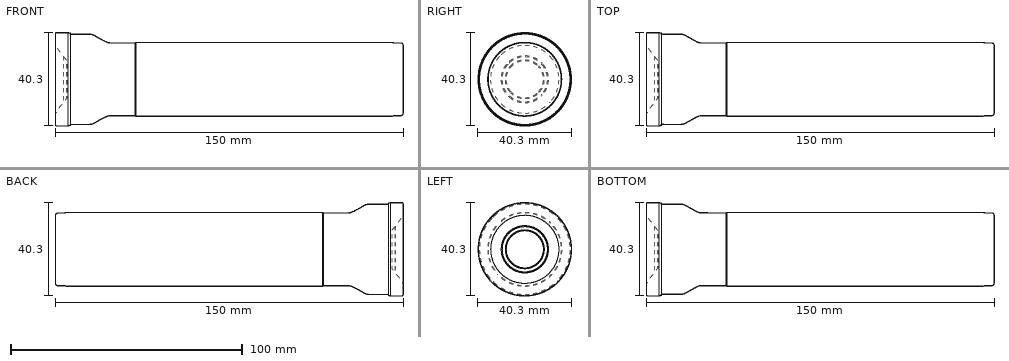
import cadquery as cq

LENGTH = 150.0
BAND_END = 6.5
BAND_CHAMFER_LENGTH = 0.9
COLLAR_END = 15.9
TAPER_END = 22.6
NECK_END = 34.3
TAIL_START = 146.0

BAND_DIAMETER = 40.3
BAND_EDGE_DIAMETER = 39.7
COLLAR_DIAMETER = 39.0
NECK_DIAMETER = 31.5
TUBE_DIAMETER = 32.0

FRONT_EDGE_RADIUS = 0.6
TAPER_BLEND_RADIUS = 3.7
TUBE_FRONT_CHAMFER_LENGTH = 0.5
TUBE_REAR_CHAMFER_LENGTH = 0.7
TAIL_EDGE_RADIUS = 1.2

DISH_DIAMETER = 36.0
DISH_DEPTH = 0.1
MOUTH_EDGE_DIAMETER = 29.4
MOUTH_DIAMETER = 27.9
MOUTH_DEPTH = 0.6
LIP_END_DIAMETER = 25.8
LIP_END_DEPTH = 1.2
THROAT_EDGE_DIAMETER = 20.4
THROAT_EDGE_DEPTH = 3.5
THROAT_DIAMETER = 19.5
THROAT_DEPTH = 3.6
FLOOR_EDGE_DIAMETER = 16.8
FLOOR_EDGE_DEPTH = 4.8
FLOOR_DIAMETER = 16.0
FLOOR_DEPTH = 5.0


def revolve_about_x(points):
    """Revolve a closed outline of (x, radius) points about the X axis."""
    return cq.Workplane("XY").polyline(points).close().revolve(360, (0, 0, 0), (1, 0, 0))


def ring_edge_selector(x, radius):
    """Select the circular edge at position x with the given radius."""
    margin = 0.07
    return cq.selectors.BoxSelector(
        (x - margin, -radius - margin, -radius - margin),
        (x + margin, radius + margin, radius + margin),
        boundingbox=True,
    )


def make_recess():
    return revolve_about_x([
        (0, 0),
        (0, DISH_DIAMETER / 2),
        (DISH_DEPTH, MOUTH_EDGE_DIAMETER / 2),
        (MOUTH_DEPTH, MOUTH_DIAMETER / 2),
        (LIP_END_DEPTH, LIP_END_DIAMETER / 2),
        (THROAT_EDGE_DEPTH, THROAT_EDGE_DIAMETER / 2),
        (THROAT_DEPTH, THROAT_DIAMETER / 2),
        (FLOOR_EDGE_DEPTH, FLOOR_EDGE_DIAMETER / 2),
        (FLOOR_DEPTH, FLOOR_DIAMETER / 2),
        (FLOOR_DEPTH, 0),
    ])


def make_head():
    band_radius = BAND_DIAMETER / 2
    collar_radius = COLLAR_DIAMETER / 2
    neck_radius = NECK_DIAMETER / 2
    head = revolve_about_x([
        (0, 0),
        (0, band_radius),
        (BAND_END - BAND_CHAMFER_LENGTH, band_radius),
        (BAND_END, BAND_EDGE_DIAMETER / 2),
        (BAND_END, collar_radius),
        (COLLAR_END, collar_radius),
        (TAPER_END, neck_radius),
        (NECK_END, neck_radius),
        (NECK_END, 0),
    ])
    for x, radius in ((COLLAR_END, collar_radius), (TAPER_END, neck_radius)):
        head = head.edges(ring_edge_selector(x, radius)).fillet(TAPER_BLEND_RADIUS)
    head = head.faces("<X").edges().fillet(FRONT_EDGE_RADIUS)
    return head.cut(make_recess())


def make_tube():
    tube_radius = TUBE_DIAMETER / 2
    tail_radius = NECK_DIAMETER / 2
    tube = revolve_about_x([
        (NECK_END, 0),
        (NECK_END, tail_radius),
        (NECK_END + TUBE_FRONT_CHAMFER_LENGTH, tube_radius),
        (TAIL_START - TUBE_REAR_CHAMFER_LENGTH, tube_radius),
        (TAIL_START, tail_radius),
        (LENGTH, tail_radius),
        (LENGTH, 0),
    ])
    return tube.faces(">X").edges().fillet(TAIL_EDGE_RADIUS)


head = make_head()
tube = make_tube()
result = cq.Compound.makeCompound([head.val(), tube.val()])